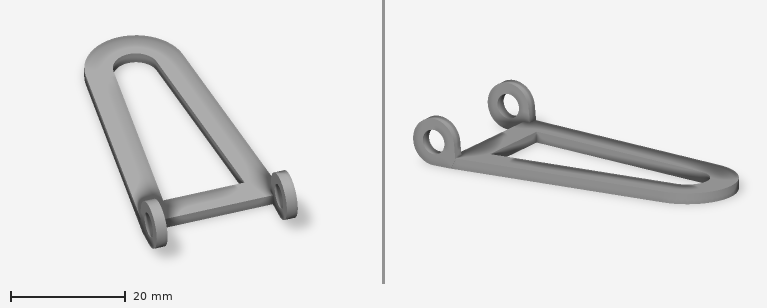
import cadquery as cq
import math

thickness = 1.99
rim_width = 5.0
nose_radius = 9.0
plate_end_x = 40.95
window_end_x = 36.0
half_width = 13.0

lug_thickness = 2.0
lug_radius = 4.25
hole_diameter = 4.46
lug_reach = 57.41
lug_x = lug_reach - nose_radius - lug_radius
lug_z = lug_radius
lug_heel_x = 39.65
lug_heel_z = 1.65
lug_foot_x = 40.7

corner_distance = math.hypot(plate_end_x, half_width)
taper = math.atan2(half_width, plate_end_x) - math.asin(nose_radius / corner_distance)


def tapered_prism(radius, end_x):
    """Prism with a round nose and straight sides tangent to it, cut square at end_x."""
    tangent_x = -radius * math.sin(taper)
    tangent_y = radius * math.cos(taper)
    end_y = tangent_y + (end_x - tangent_x) * math.tan(taper)
    return (
        cq.Workplane("XY")
        .moveTo(end_x, -end_y)
        .lineTo(end_x, end_y)
        .lineTo(tangent_x, tangent_y)
        .threePointArc((-radius, 0), (tangent_x, -tangent_y))
        .close()
        .extrude(thickness)
    )


def make_plate():
    window = tapered_prism(nose_radius - rim_width, window_end_x)
    return tapered_prism(nose_radius, plate_end_x).cut(window)


def make_lug(outer_y):
    """Lug whose +Y face lies at outer_y."""
    heel_dx = lug_heel_x - lug_x
    heel_dz = lug_heel_z - lug_z
    heel_distance = math.hypot(heel_dx, heel_dz)
    heel_angle = math.atan2(heel_dz, heel_dx) % math.tau
    tangent_angle = heel_angle - math.acos(lug_radius / heel_distance)
    tangent_point = (
        lug_x + lug_radius * math.cos(tangent_angle),
        lug_z + lug_radius * math.sin(tangent_angle),
    )
    return (
        cq.Workplane("XZ", origin=(0, outer_y, 0))
        .moveTo(lug_foot_x, 0)
        .lineTo(lug_heel_x, lug_heel_z)
        .lineTo(*tangent_point)
        .threePointArc((lug_x + lug_radius, lug_z), (lug_x, 0))
        .close()
        .moveTo(lug_x, lug_z)
        .circle(hole_diameter / 2)
        .extrude(lug_thickness)
    )


result = make_plate()
for lug_outer_y in (half_width, lug_thickness - half_width):
    result = result.union(make_lug(lug_outer_y))